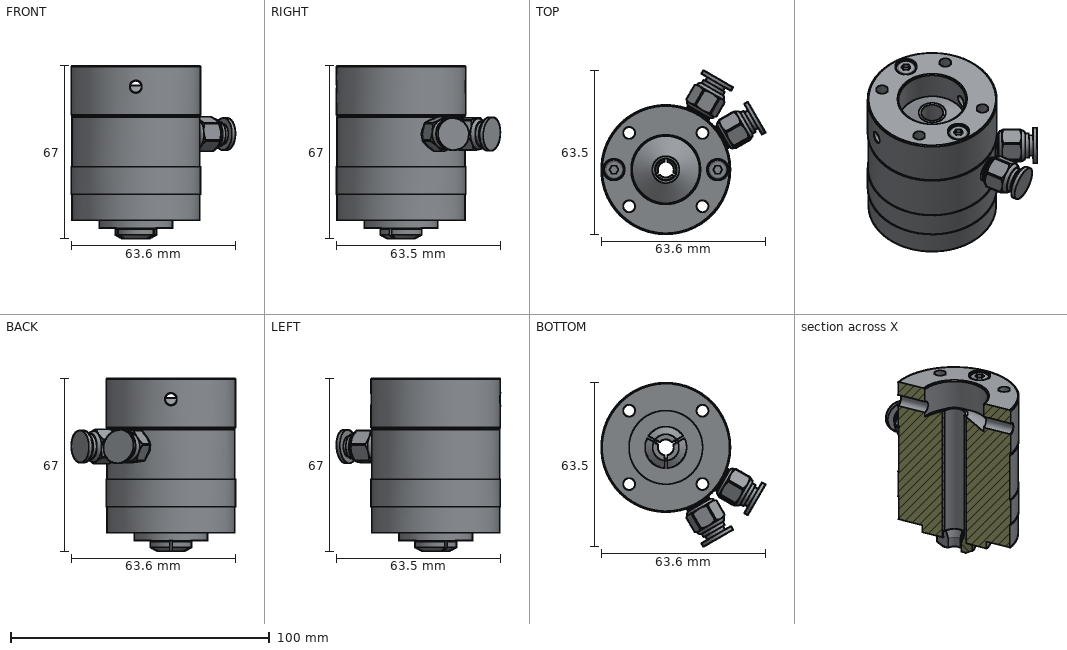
import cadquery as cq
import math

BLOCK_RADIUS = 50.05 / 2
WAIST_RADIUS = 49.5 / 2
BOSS_RADIUS = 28.5 / 2
BOSS_BOTTOM = 4.15
LOWER_BOTTOM = 7.2
RING_BOTTOM = 17.2
RING_TOP = 27.95
GROOVE_BOTTOM = 47.1
BLOCK_BOTTOM = 47.45
HOUSING_TOP = 67.0
EDGE_CHAMFER = 0.5
RING_CHAMFER = 0.15

BORE_RADIUS = 13.0
CONE_BASE = 54.8
CONE_TOP = 59.3

BOLT_HOLE_DIAMETER = 4.5
PITCH_RADIUS = 20.0
SIDE_HOLE_RADIUS = 4.5 / 2
SIDE_HOLE_CHAMFER = 0.2
SIDE_HOLE_HEIGHT = 58.8

COUNTERBORE_RADIUS = 8.0 / 2
SCREW_HEAD_RADIUS = 3.75
SCREW_EDGE_ROUNDING = 0.55
SCREW_RECESS = 0.35
COUNTERBORE_CHAMFER = 0.2
SOCKET_ACROSS_FLATS = 3.0
SOCKET_DEPTH = 2.0

FITTING_HEIGHT = 40.55
FITTING_ROOT = 22.1
SEAT_RADIUS = 4.9
SEAT_END = 25.1
NECK_RADIUS = 4.55
NUT_START = 25.7
NUT_BACK_RADIUS = 4.9
NUT_BACK = 26.95
NUT_FULL_START = 27.5
NUT_FULL_END = 33.85
NUT_END = 34.45
NUT_CORNER_RADIUS = 6.8
NUT_ACROSS_FLATS = 12.0
NUT_BACK_BULGE = (5.7, 26.2)
SHOULDER_BULGE = (5.6, 35.4)
SHOULDER_RADIUS = 5.0
COLLAR_START = 35.9
COLLAR_RADIUS = 4.75
STEM_START = 37.4
STEM_RADIUS = 8.0 / 2
RELEASE_START = 38.9
RELEASE_END = 40.55
RELEASE_LONG_RADIUS = 6.9
RELEASE_SHORT_RADIUS = 6.2
FITTING_POSES = ((60.0, 37.0), (30.0, -7.8))

HEAD_RADIUS = 8.05
TIP_RADIUS = 5.1
TIP_HEIGHT = 1.6
HEAD_CHAMFER = 0.35
TUBE_RADIUS = 5.2
TUBE_BORE_RADIUS = 4.2
FUNNEL_RADIUS = 8.0 / 2
GRIP_RADIUS = 3.0
FUNNEL_BOTTOM = BOSS_BOTTOM
FUNNEL_TOP = LOWER_BOTTOM
SLIT_WIDTH = 1.0
SLIT_LENGTH = HEAD_RADIUS
SLIT_CENTER = GRIP_RADIUS / 2 + SLIT_LENGTH / 2
SLIT_ANGLES = (90.0, 210.0, 330.0)


def revolved(profile):
    """Turn a closed XZ-plane outline about the Z axis."""
    return profile.close().revolve(360, (0, 0, 0), (0, 1, 0))


def z_cylinder(radius, bottom, top):
    return cq.Workplane("XY").workplane(offset=bottom).circle(radius).extrude(top - bottom)


def corner_diameter(across_flats):
    """Corner-to-corner size of a hexagon."""
    return across_flats / math.cos(math.pi / 6)


def housing_blank():
    """Stepped outside of the housing, with the bore, the cone and the collet hole."""
    groove_radius = BLOCK_RADIUS - EDGE_CHAMFER
    outline = (
        cq.Workplane("XZ")
        .moveTo(TUBE_RADIUS, BOSS_BOTTOM)
        .lineTo(BOSS_RADIUS, BOSS_BOTTOM)
        .lineTo(BOSS_RADIUS, LOWER_BOTTOM)
        .lineTo(WAIST_RADIUS - RING_CHAMFER, LOWER_BOTTOM)
        .lineTo(WAIST_RADIUS, LOWER_BOTTOM + RING_CHAMFER)
        .lineTo(WAIST_RADIUS, RING_BOTTOM)
        .lineTo(BLOCK_RADIUS, RING_BOTTOM)
        .lineTo(BLOCK_RADIUS, RING_TOP)
        .lineTo(WAIST_RADIUS, RING_TOP)
        .lineTo(WAIST_RADIUS, GROOVE_BOTTOM)
        .lineTo(groove_radius, BLOCK_BOTTOM)
        .lineTo(BLOCK_RADIUS, BLOCK_BOTTOM + EDGE_CHAMFER)
        .lineTo(BLOCK_RADIUS, HOUSING_TOP - EDGE_CHAMFER)
        .lineTo(BLOCK_RADIUS - EDGE_CHAMFER, HOUSING_TOP)
        .lineTo(BORE_RADIUS + EDGE_CHAMFER, HOUSING_TOP)
        .lineTo(BORE_RADIUS, HOUSING_TOP - EDGE_CHAMFER)
        .lineTo(BORE_RADIUS, CONE_BASE)
        .lineTo(TUBE_RADIUS, CONE_TOP)
    )
    return revolved(outline)


def bolt_holes():
    return (
        cq.Workplane("XY")
        .polarArray(PITCH_RADIUS, 45, 360, 4)
        .circle(BOLT_HOLE_DIAMETER / 2)
        .extrude(HOUSING_TOP)
    )


def side_hole():
    """Cross hole along Y through both walls of the bore, chamfered on the outside."""
    chamfer_start = BLOCK_RADIUS - SIDE_HOLE_CHAMFER
    drill = revolved(
        cq.Workplane("XZ")
        .moveTo(0, 0)
        .lineTo(SIDE_HOLE_RADIUS, 0)
        .lineTo(SIDE_HOLE_RADIUS, chamfer_start)
        .lineTo(SIDE_HOLE_RADIUS + SIDE_HOLE_CHAMFER, BLOCK_RADIUS)
        .lineTo(0, BLOCK_RADIUS)
    )
    front = drill.rotate((0, 0, 0), (1, 0, 0), 90)
    both_sides = front.union(front.mirror("XZ")).translate((0, 0, SIDE_HOLE_HEIGHT))
    return both_sides.cut(z_cylinder(BORE_RADIUS, 0, HOUSING_TOP))


def screw_recess(x):
    """Space above one cap screw: counterbore, round-edged head and hexagon socket."""
    face = HOUSING_TOP - SCREW_RECESS
    floor = face - SCREW_EDGE_ROUNDING
    space = revolved(
        cq.Workplane("XZ")
        .moveTo(0, face)
        .lineTo(SCREW_HEAD_RADIUS - SCREW_EDGE_ROUNDING, face)
        .tangentArcPoint((SCREW_HEAD_RADIUS, floor), relative=False)
        .lineTo(COUNTERBORE_RADIUS, floor)
        .lineTo(COUNTERBORE_RADIUS, HOUSING_TOP - COUNTERBORE_CHAMFER)
        .lineTo(COUNTERBORE_RADIUS + COUNTERBORE_CHAMFER, HOUSING_TOP)
        .lineTo(0, HOUSING_TOP)
    )
    socket = (
        cq.Workplane("XY")
        .workplane(offset=face - SOCKET_DEPTH)
        .polygon(6, corner_diameter(SOCKET_ACROSS_FLATS))
        .extrude(SOCKET_DEPTH)
    )
    return space.union(socket).translate((x, 0, 0))


def fitting(direction, turn):
    """One air fitting, built along Z and then laid radially into the housing wall."""
    stem = revolved(
        cq.Workplane("XZ")
        .moveTo(0, FITTING_ROOT)
        .lineTo(SEAT_RADIUS, FITTING_ROOT)
        .lineTo(SEAT_RADIUS, SEAT_END)
        .lineTo(NECK_RADIUS, SEAT_END)
        .lineTo(NECK_RADIUS, NUT_START)
        .lineTo(NUT_BACK_RADIUS, NUT_START)
        .threePointArc(NUT_BACK_BULGE, (NUT_ACROSS_FLATS / 2, NUT_BACK))
        .lineTo(NUT_CORNER_RADIUS, NUT_FULL_START)
        .lineTo(NUT_CORNER_RADIUS, NUT_FULL_END)
        .lineTo(NUT_ACROSS_FLATS / 2, NUT_END)
        .threePointArc(SHOULDER_BULGE, (SHOULDER_RADIUS, COLLAR_START))
        .lineTo(COLLAR_RADIUS, COLLAR_START)
        .lineTo(COLLAR_RADIUS, STEM_START)
        .lineTo(STEM_RADIUS, STEM_START)
        .lineTo(STEM_RADIUS, RELEASE_START)
        .lineTo(0, RELEASE_START)
    )
    hexagon_bar = cq.Workplane("XY").polygon(6, corner_diameter(NUT_ACROSS_FLATS)).extrude(RELEASE_START)
    release_ring = (
        cq.Workplane("XY")
        .workplane(offset=RELEASE_START)
        .ellipse(RELEASE_SHORT_RADIUS, RELEASE_LONG_RADIUS)
        .extrude(RELEASE_END - RELEASE_START)
    )
    angle = math.radians(direction)
    seat = cq.Plane(
        origin=(0, 0, FITTING_HEIGHT),
        xDir=(0, 0, 1),
        normal=(math.cos(angle), math.sin(angle), 0),
    ).rotated((0, 0, turn))
    upright = stem.intersect(hexagon_bar).union(release_ring)
    return cq.Workplane(upright.val().moved(cq.Location(seat)))


def build_housing():
    body = housing_blank().cut(bolt_holes()).cut(side_hole())
    for x in (-PITCH_RADIUS, PITCH_RADIUS):
        body = body.cut(screw_recess(x))
    for direction, turn in FITTING_POSES:
        body = body.union(fitting(direction, turn))
    return body


def build_collet():
    """Slit head below the housing, on a tube that runs up to the tip of the cone."""
    body = revolved(
        cq.Workplane("XZ")
        .moveTo(GRIP_RADIUS, 0)
        .lineTo(TIP_RADIUS, 0)
        .lineTo(HEAD_RADIUS, TIP_HEIGHT)
        .lineTo(HEAD_RADIUS, BOSS_BOTTOM - HEAD_CHAMFER)
        .lineTo(HEAD_RADIUS - HEAD_CHAMFER, BOSS_BOTTOM)
        .lineTo(TUBE_RADIUS, BOSS_BOTTOM)
        .lineTo(TUBE_RADIUS, CONE_TOP)
        .lineTo(TUBE_BORE_RADIUS, CONE_TOP)
        .lineTo(TUBE_BORE_RADIUS, FUNNEL_TOP)
        .lineTo(FUNNEL_RADIUS, FUNNEL_TOP)
        .lineTo(GRIP_RADIUS, FUNNEL_BOTTOM)
    )
    for angle in SLIT_ANGLES:
        slit = (
            cq.Workplane("XY")
            .rect(SLIT_LENGTH, SLIT_WIDTH)
            .extrude(FUNNEL_TOP)
            .translate((SLIT_CENTER, 0, 0))
            .rotate((0, 0, 0), (0, 0, 1), angle)
        )
        body = body.cut(slit)
    return body


housing = build_housing()
collet = build_collet()
result = cq.Compound.makeCompound([housing.val(), collet.val()])